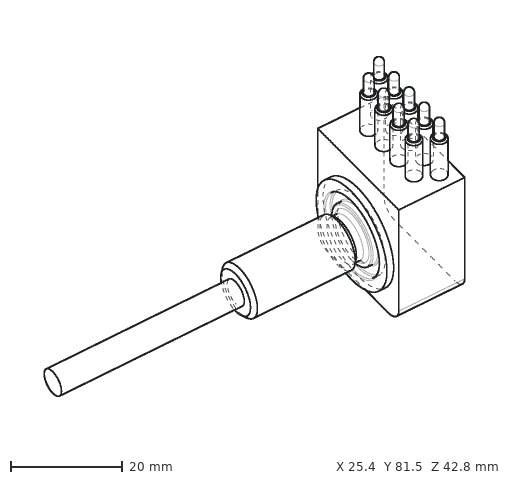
import cadquery as cq

BLOCK_WIDTH = 25.4
BLOCK_DEPTH = 14.5
BLOCK_TOP = 16.0
BLOCK_BOTTOM = 12.7
CORNER_RADIUS = 3.2

FLANGE_DIAMETER = 22.2
FLANGE_THICKNESS = 1.5
FLANGE_SINK = 0.8
POCKET_OUTER_DIAMETER = 17.1
BOSS_DIAMETER = 12.7
POCKET_DEPTH = 1.5
POCKET_EDGE_FILLET = 0.25

NECK_DIAMETER = 9.4
NECK_END = 3.7
NECK_FILLET = 0.7
SLEEVE_DIAMETER = 11.15
SLEEVE_END = 26.9
SLEEVE_CHAMFER = (SLEEVE_DIAMETER - NECK_DIAMETER) / 2

OVERALL_LENGTH = 81.45
CABLE_DIAMETER = 5.45
CABLE_END = OVERALL_LENGTH - BLOCK_DEPTH

PIN_PITCH = 4.7
BACK_ROW_COUNT = 5
FRONT_ROW_COUNT = 4
BACK_ROW_INSET = 3.3
ROW_SPACING = 3.9
PIN_DIAMETER = 3.2
PIN_SHOULDER_HEIGHT = 9.5
PIN_CHAMFER = 0.37
TIP_DIAMETER = 1.95
TIP_HEIGHT = 14.1


def forward_cylinder(diameter, start, end):
    """Cylinder on the cable axis between two distances in front of the block face."""
    return (
        cq.Workplane("XZ", origin=(0, -start, 0))
        .circle(diameter / 2)
        .extrude(end - start)
    )


def make_block():
    height = BLOCK_TOP + BLOCK_BOTTOM
    return (
        cq.Workplane("XY", origin=(0, BLOCK_DEPTH / 2, -BLOCK_BOTTOM))
        .box(BLOCK_WIDTH, BLOCK_DEPTH, height, centered=(True, True, False))
        .edges("|Y and <Z")
        .fillet(CORNER_RADIUS)
    )


def circles_by_size(index):
    """Selects the circular edges with the smallest (0), next (1), ... radius."""
    return cq.selectors.RadiusNthSelector(index)


def make_flange_and_neck():
    pocket_start = FLANGE_THICKNESS - POCKET_DEPTH
    flange = forward_cylinder(FLANGE_DIAMETER, -FLANGE_SINK, FLANGE_THICKNESS)
    pocket = forward_cylinder(POCKET_OUTER_DIAMETER, pocket_start, FLANGE_THICKNESS)
    boss = forward_cylinder(BOSS_DIAMETER, pocket_start, FLANGE_THICKNESS)
    flange = flange.cut(pocket.cut(boss))

    boss_edges = circles_by_size(0)
    pocket_edges = circles_by_size(1)
    flange = flange.edges(boss_edges + pocket_edges).fillet(POCKET_EDGE_FILLET)

    neck = forward_cylinder(NECK_DIAMETER, FLANGE_THICKNESS, NECK_END)
    flange = flange.union(neck)
    neck_edges = circles_by_size(1)
    return flange.edges(neck_edges).edges(">Y").fillet(NECK_FILLET)


def make_sleeve_and_cable():
    sleeve = forward_cylinder(SLEEVE_DIAMETER, NECK_END, SLEEVE_END)
    sleeve = sleeve.faces("<Y or >Y").chamfer(SLEEVE_CHAMFER)
    cable = forward_cylinder(CABLE_DIAMETER, SLEEVE_END, CABLE_END)
    return sleeve.union(cable)


def make_pin():
    """One contact pin standing on Z = 0."""
    barrel = (
        cq.Workplane("XY")
        .circle(PIN_DIAMETER / 2)
        .extrude(PIN_SHOULDER_HEIGHT)
        .faces(">Z")
        .chamfer(PIN_CHAMFER)
    )
    tip_radius = TIP_DIAMETER / 2
    dome_base = TIP_HEIGHT - tip_radius
    tip = cq.Workplane("XY").circle(tip_radius).extrude(dome_base)
    dome = cq.Workplane("XY", origin=(0, 0, dome_base)).sphere(tip_radius)
    return barrel.union(tip).union(dome)


def pin_places():
    """Two staggered rows, each centred on the block width."""
    back_row_y = BLOCK_DEPTH - BACK_ROW_INSET
    rows = [
        (BACK_ROW_COUNT, back_row_y),
        (FRONT_ROW_COUNT, back_row_y - ROW_SPACING),
    ]
    places = []
    for count, y in rows:
        for i in range(count):
            x = (i - (count - 1) / 2) * PIN_PITCH
            places.append((x, y, BLOCK_TOP))
    return places


result = make_block().union(make_flange_and_neck()).union(make_sleeve_and_cable())
for place in pin_places():
    result = result.union(make_pin().translate(place))